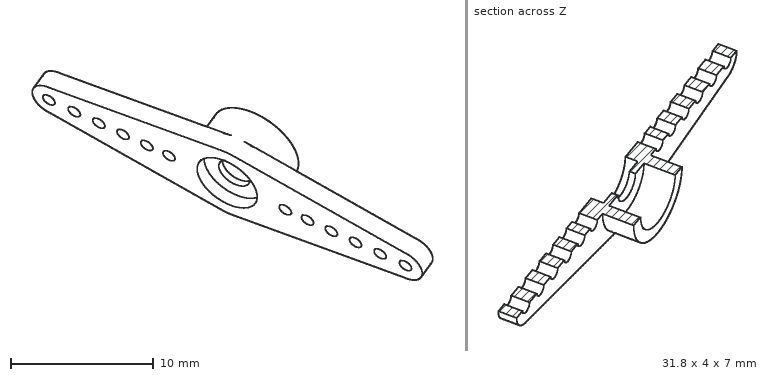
import cadquery as cq
import math

length = 31.75
hub_diameter = 7.0
tip_diameter = 2.92
hub_arc_width = 1.08
plate_thickness = 1.5
total_depth = 4.0

bore_diameter = 2.5
recess_diameter = 4.9
recess_depth = 1.0
web_thickness = 0.5
socket_diameter = 5.0
link_hole_diameter = 1.0
link_hole_distances = (4.73, 6.55, 8.48, 10.45, 12.45, 14.5)

hub_radius = hub_diameter / 2
tip_radius = tip_diameter / 2
tip_center = length / 2 - tip_radius

front = cq.Workplane("XZ")


def cylinder(diameter, start, end, x=0.0):
    """Cylinder along +Y between two depths, centred at the given x."""
    return front.workplane(offset=-start).center(x, 0).circle(diameter / 2).extrude(start - end)


def arm_plate():
    """Two tapered arms with half-round tips, meeting on the hub circle."""
    corner_x = hub_arc_width / 2
    corner_z = math.sqrt(hub_radius**2 - corner_x**2)
    return (
        front.moveTo(-corner_x, corner_z)
        .lineTo(corner_x, corner_z)
        .lineTo(tip_center, tip_radius)
        .threePointArc((length / 2, 0), (tip_center, -tip_radius))
        .lineTo(corner_x, -corner_z)
        .lineTo(-corner_x, -corner_z)
        .lineTo(-tip_center, -tip_radius)
        .threePointArc((-length / 2, 0), (-tip_center, tip_radius))
        .close()
        .extrude(-plate_thickness)
    )


result = arm_plate().union(cylinder(hub_diameter, 0, total_depth)).clean()

socket_start = recess_depth + web_thickness
result = result.cut(cylinder(recess_diameter, 0, recess_depth))
result = result.cut(cylinder(bore_diameter, recess_depth, socket_start))
result = result.cut(cylinder(socket_diameter, socket_start, total_depth))

for distance in link_hole_distances:
    for side in (-1, 1):
        result = result.cut(cylinder(link_hole_diameter, 0, plate_thickness, side * distance))